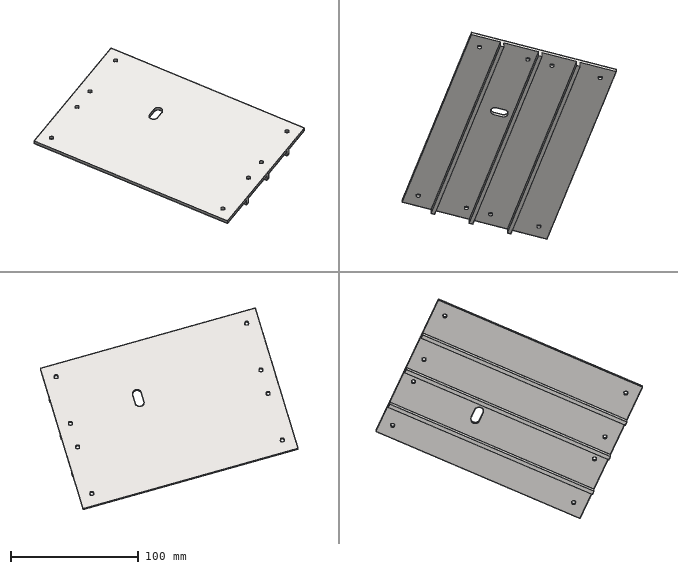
import cadquery as cq

length = 175.8
width = 119.5
total_height = 8.0
plate_thickness = 3.0

rib_height = total_height - plate_thickness
rib_width = 3.0
rib_pitch = 31.5
middle_rib_y = 3.0

hole_diameter = 3.2
hole_x = 77.9
outer_hole_y = 49.8
inner_hole_y = 10.0

slot_length = 14.0
slot_width = 7.0
slot_x = -21.0
slot_y = 15.0


def make_plate():
    """Flat plate with its underside at Z = 0."""
    return cq.Workplane("XY").box(length, width, plate_thickness, centered=(True, True, False))


def make_rib(y):
    """Full-length rib hanging below the plate."""
    return (
        cq.Workplane("XY")
        .center(0, y)
        .rect(length, rib_width)
        .extrude(-rib_height)
    )


def cut_holes(body):
    """Through holes in a row along each short edge."""
    hole_points = [
        (x, y)
        for x in (-hole_x, hole_x)
        for y in (-outer_hole_y, -inner_hole_y, inner_hole_y, outer_hole_y)
    ]
    holes = (
        cq.Workplane("XY")
        .pushPoints(hole_points)
        .circle(hole_diameter / 2)
        .extrude(plate_thickness)
    )
    return body.cut(holes)


def cut_slot(body):
    """Slot through the plate, between two ribs."""
    slot = (
        cq.Workplane("XY")
        .center(slot_x, slot_y)
        .slot2D(slot_length, slot_width, 90)
        .extrude(plate_thickness)
    )
    return body.cut(slot)


result = make_plate()
for rib_step in (-1, 0, 1):
    result = result.union(make_rib(middle_rib_y + rib_step * rib_pitch))
result = cut_holes(result)
result = cut_slot(result)